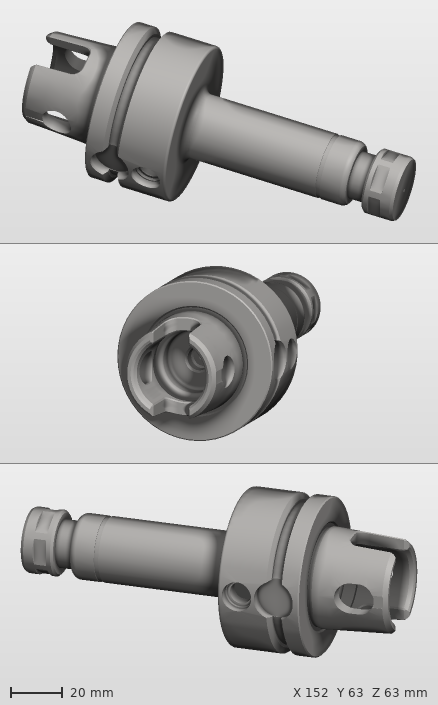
import cadquery as cq
import math

total_length = 152.0
flange_start = 31.6
flange_end = 64.9
shank_end = 132.1
nut_start = 139.0

taper_tip_radius = 18.4
taper_slope = 0.055
tip_chamfer_length = 2.0
tip_chamfer_depth = 1.2
taper_end = 30.2
relief_radius = 19.6
face_groove_radius = 21.7
face_groove_depth = 0.6

flange_radius = 63.0 / 2
flange_front_chamfer = 0.5
flange_back_fillet = 1.0
v_groove_center = 42.0
v_groove_mouth = 6.4
v_groove_floor_width = 3.8
v_groove_flank_radius = 29.0
v_groove_floor_radius = 27.8

shank_radius = 26.0 / 2
shank_root_fillet = 3.0
shank_end_rounding = 3.0
shank_end_radius = 11.7
ring_groove_start = 120.1
ring_groove_end = 121.9
ring_groove_depth = 0.3

neck_radius = 19.0 / 2
nut_radius = shank_radius
nut_back_chamfer = 0.9
nut_front_chamfer_length = 1.2
nut_front_chamfer_depth = 0.6
nut_flat_count = 6
nut_flat_distance = 11.9
nut_flat_start = 141.8
nut_flat_end = 146.7
nut_flat_flare = 0.3

mouth_radius = 15.8
mouth_step_radius = 14.9
mouth_step_depth = 0.6
bore_radius = 14.0
bore_start = 2.1
bore_end = 22.6
clamp_groove_radius = 14.9
clamp_groove_flank = 0.9
clamp_groove_end = 28.5
inner_bore_radius = 12.2
inner_bore_rounding = bore_radius - inner_bore_radius
floor_rounding = 1.4
floor_position = 36.5

socket_mouth_radius = 11.0 / 2
socket_radius = 9.3 / 2
socket_depth = 6.1
socket_floor_radius = 7.8 / 2
coolant_mouth_radius = 3.5 / 2
coolant_radius = 1.7 / 2

slot_width = 14.3
slot_end = 19.9
slot_corner_radius = 4.0
slot_edge_chamfer = 0.5
slot_mouth_bevel = 0.9
cross_hole_position = 15.0
cross_hole_diameter = 12.5
cross_hole_stretch = 3.3
key_width = 5.0
key_floor = 18.2

pocket_diameter = 16.0
pocket_floor = 26.5
side_hole_position = 57.0
side_hole_steps = ((12.0, 27.7), (11.0, 26.5), (8.8, 21.3))


def taper_radius(x):
    return taper_tip_radius + taper_slope * x


def turned_body():
    """Outer shape turned about X, without any bore."""
    v_mouth_start = v_groove_center - v_groove_mouth / 2
    v_mouth_end = v_groove_center + v_groove_mouth / 2
    v_floor_start = v_groove_center - v_groove_floor_width / 2
    v_floor_end = v_groove_center + v_groove_floor_width / 2
    face_groove_floor = flange_start + face_groove_depth
    back_diagonal = flange_back_fillet * (1 - math.sqrt(0.5))
    root_diagonal = shank_root_fillet * (1 - math.sqrt(0.5))
    rounding_angle = math.acos(1 - (shank_radius - shank_end_radius) / shank_end_rounding)
    rounding_start = shank_end - shank_end_rounding * math.sin(rounding_angle)
    rounding_middle = (
        rounding_start + shank_end_rounding * math.sin(rounding_angle / 2),
        shank_radius - shank_end_rounding * (1 - math.cos(rounding_angle / 2)),
    )
    ring_groove_radius = shank_radius - ring_groove_depth
    profile = (
        cq.Workplane("XY")
        .lineTo(0, taper_radius(0) - tip_chamfer_depth)
        .lineTo(tip_chamfer_length, taper_radius(tip_chamfer_length))
        .lineTo(taper_end, taper_radius(taper_end))
        .lineTo(flange_start, relief_radius)
        .lineTo(face_groove_floor, relief_radius)
        .lineTo(face_groove_floor, face_groove_radius - face_groove_depth)
        .lineTo(flange_start, face_groove_radius)
        .lineTo(flange_start, flange_radius - flange_front_chamfer)
        .lineTo(flange_start + flange_front_chamfer, flange_radius)
        .lineTo(v_mouth_start, flange_radius)
        .lineTo(v_floor_start, v_groove_flank_radius)
        .lineTo(v_floor_start, v_groove_floor_radius)
        .lineTo(v_floor_end, v_groove_floor_radius)
        .lineTo(v_floor_end, v_groove_flank_radius)
        .lineTo(v_mouth_end, flange_radius)
        .lineTo(flange_end - flange_back_fillet, flange_radius)
        .threePointArc(
            (flange_end - back_diagonal, flange_radius - back_diagonal),
            (flange_end, flange_radius - flange_back_fillet),
        )
        .lineTo(flange_end, shank_radius + shank_root_fillet)
        .threePointArc(
            (flange_end + root_diagonal, shank_radius + root_diagonal),
            (flange_end + shank_root_fillet, shank_radius),
        )
        .lineTo(ring_groove_start, shank_radius)
        .lineTo(ring_groove_start, ring_groove_radius)
        .lineTo(ring_groove_end, ring_groove_radius)
        .lineTo(ring_groove_end, shank_radius)
        .lineTo(rounding_start, shank_radius)
        .threePointArc(rounding_middle, (shank_end, shank_end_radius))
        .lineTo(shank_end, neck_radius)
        .lineTo(nut_start, neck_radius)
        .lineTo(nut_start, nut_radius - nut_back_chamfer)
        .lineTo(nut_start + nut_back_chamfer, nut_radius)
        .lineTo(total_length - nut_front_chamfer_length, nut_radius)
        .lineTo(total_length, nut_radius - nut_front_chamfer_depth)
        .lineTo(total_length, 0)
        .close()
    )
    return profile.revolve(360, (0, 0, 0), (1, 0, 0))


def bore():
    """Stepped bore of the taper with the coolant passage running on through the part."""
    entry_diagonal = inner_bore_rounding * (1 - math.sqrt(0.5))
    floor_diagonal = floor_rounding * (1 - math.sqrt(0.5))
    socket_mouth_chamfer = socket_mouth_radius - socket_radius
    socket_floor = floor_position + socket_depth
    socket_floor_chamfer = socket_radius - socket_floor_radius
    coolant_chamfer = coolant_mouth_radius - coolant_radius
    profile = (
        cq.Workplane("XY")
        .lineTo(0, mouth_radius)
        .lineTo(mouth_step_depth, mouth_step_radius)
        .lineTo(bore_start, bore_radius)
        .lineTo(bore_end, bore_radius)
        .lineTo(bore_end + clamp_groove_flank, clamp_groove_radius)
        .lineTo(clamp_groove_end, clamp_groove_radius)
        .lineTo(clamp_groove_end, bore_radius)
        .threePointArc(
            (clamp_groove_end + entry_diagonal, inner_bore_radius + entry_diagonal),
            (clamp_groove_end + inner_bore_rounding, inner_bore_radius),
        )
        .lineTo(floor_position - floor_rounding, inner_bore_radius)
        .threePointArc(
            (floor_position - floor_diagonal, inner_bore_radius - floor_diagonal),
            (floor_position, inner_bore_radius - floor_rounding),
        )
        .lineTo(floor_position, socket_mouth_radius)
        .lineTo(floor_position + socket_mouth_chamfer, socket_radius)
        .lineTo(socket_floor - socket_floor_chamfer, socket_radius)
        .lineTo(socket_floor, socket_floor_radius)
        .lineTo(socket_floor, coolant_mouth_radius)
        .lineTo(socket_floor + coolant_chamfer, coolant_radius)
        .lineTo(total_length, coolant_radius)
        .lineTo(total_length, 0)
        .close()
    )
    return profile.revolve(360, (0, 0, 0), (1, 0, 0))


def cut_drive_slot(body):
    """Cut the slot through both walls of the taper along Z and bevel its edges and mouth."""
    slot = (
        cq.Workplane("XY")
        .rect(2 * slot_end, slot_width)
        .extrude(flange_radius, both=True)
        .edges("|Z and >X")
        .fillet(slot_corner_radius)
    )
    mouth = (
        cq.Workplane("XY")
        .moveTo(0, -slot_width / 2 - slot_mouth_bevel)
        .lineTo(tip_chamfer_length, -slot_width / 2)
        .lineTo(tip_chamfer_length, slot_width / 2)
        .lineTo(0, slot_width / 2 + slot_mouth_bevel)
        .close()
        .extrude(flange_radius, both=True)
    )
    margin = 0.2
    slot_edges = cq.selectors.BoxSelector(
        (margin, -slot_width / 2 - margin, -flange_radius),
        (slot_end + margin, slot_width / 2 + margin, flange_radius),
    )
    slotted = body.cut(slot).edges(slot_edges).edges("not |Z").chamfer(slot_edge_chamfer)
    return slotted.cut(mouth)


def radial_cylinder(position, diameter, floor, top=flange_radius):
    """Cylinder along -Y, from the given floor distance out to the top distance."""
    return (
        cq.Workplane("XZ", origin=(position, -floor, 0))
        .circle(diameter / 2)
        .extrude(top - floor)
    )


def far_cross_hole():
    """Cross hole on the +Y side, stretched towards the tip."""
    middle = cross_hole_position - cross_hole_stretch / 2
    return (
        cq.Workplane("XZ", origin=(middle, flange_radius, 0))
        .slot2D(cross_hole_stretch + cross_hole_diameter, cross_hole_diameter)
        .extrude(flange_radius)
    )


def key_flat():
    """Shallow flat from the tip to the cross hole on the -Y side of the taper."""
    return cq.Workplane("XY").box(
        cross_hole_position, flange_radius - key_floor, key_width, centered=(False, False, True)
    ).translate((0, -flange_radius, 0))


def nut_flat():
    """Wrench recess on the -Y side of the nut, with flared end walls."""
    half_length = nut_radius
    depth = nut_radius - nut_flat_distance
    return (
        cq.Workplane("XY")
        .moveTo(nut_flat_start, -nut_flat_distance)
        .lineTo(nut_flat_end, -nut_flat_distance)
        .lineTo(nut_flat_end + nut_flat_flare, -nut_flat_distance - depth)
        .lineTo(nut_flat_start - nut_flat_flare, -nut_flat_distance - depth)
        .close()
        .extrude(half_length, both=True)
    )


def around_axis(shape, count):
    """Copies of the shape spaced evenly around the X axis."""
    return [shape.rotate((0, 0, 0), (1, 0, 0), i * 360 / count) for i in range(count)]


near_cross_hole = radial_cylinder(cross_hole_position, cross_hole_diameter, 0)
pocket = radial_cylinder(v_groove_center, pocket_diameter, pocket_floor)
side_features = [key_flat(), pocket]
for step_diameter, step_floor in side_hole_steps:
    side_features.append(radial_cylinder(side_hole_position, step_diameter, step_floor))

result = cut_drive_slot(turned_body().cut(bore()))
result = result.cut(near_cross_hole).cut(far_cross_hole())
for side_feature in side_features:
    for cutter in around_axis(side_feature, 2):
        result = result.cut(cutter)
for cutter in around_axis(nut_flat(), nut_flat_count):
    result = result.cut(cutter)